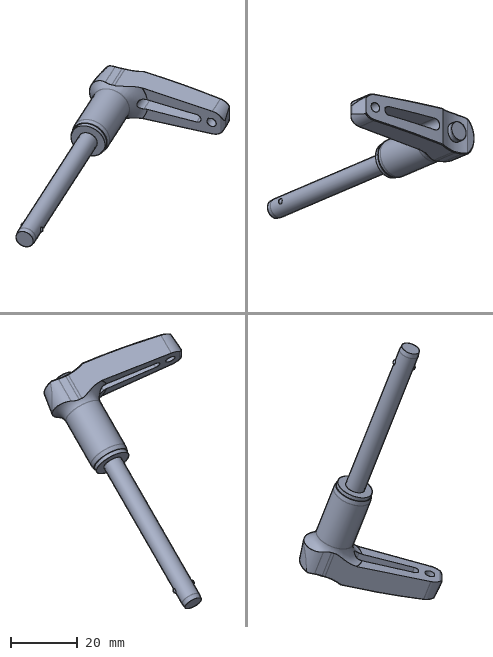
import math

import cadquery as cq


PIN_RADIUS = 3.0
PIN_LENGTH = 52.0
TIP_LENGTH = 1.55
TIP_RADIUS = 2.8
BALL_RADIUS = 0.9
BALL_REACH = 3.5
BALL_Y = -45.85

COLLAR_RADIUS = 5.95
LIP_RADIUS = 5.5
LIP_HEIGHT = 1.25
ROUND_HEIGHT = 1.45
ROUND_DEPTH = 0.25
FLARE_START_Y = 18.9
FLARE_RADIUS = 4.25
FLARE_TOP_Y = 24.5

HUB_RADIUS = 6.33
HEEL_X = -2.37
HEEL_RADIUS = 6.15
GRIP_END_X = 31.2
GRIP_END_RADIUS = 4.3

HANDLE_BOTTOM_Y = FLARE_START_Y + FLARE_RADIUS
FLARE_OUTER_RADIUS = COLLAR_RADIUS + FLARE_RADIUS
GRIP_END_BOTTOM = (35.44, 21.85)
GRIP_END_ROUND = 0.95
GRIP_END_TOP = (34.5, 28.5)
GRIP_TOP_MIDDLE = (18.3, 30.35)
GRIP_PEAK = (5.9, 31.0)
DISH_BOTTOM = (-0.3, 29.6)
DISH_LEFT = (-4.6, 30.25)
TOP_FACES_Y = 29.0
TOP_EDGE_CHAMFER = 0.25

HEEL_TIP_X = HEEL_X - HEEL_RADIUS
HEEL_CUT_RADIUS = 7.8
HEEL_CUT_LEAN = 8.4
HEEL_CUT_RIGHT_X = -4.0

SLOT_WIDE_X = 9.0
SLOT_WIDE_RADIUS = 1.85
SLOT_NARROW_X = 26.3
SLOT_NARROW_RADIUS = 1.4
LANYARD_HOLE_RADIUS = 1.5

BUTTON_RADIUS = 3.0
BUTTON_TOP_Y = 31.6
BUTTON_CHAMFER_HEIGHT = 0.4
BUTTON_CHAMFER_WIDTH = 0.1

LOW_Y = 10.0
HIGH_Y = 40.0
CLEARANCE = 20.0


def facing_plus_y(x, y):
    """Workplane facing +Y, with local axes along the part's X and -Z."""
    return cq.Workplane(cq.Plane((x, y, 0), (1, 0, 0), (0, 1, 0)))


def spin_about_y(half_profile):
    return half_profile.close().revolve(360, (0, 0, 0), (0, 1, 0))


def tangent_hull(left_x, left_radius, right_x, right_radius):
    """Tall prism around two circles on the X axis joined by their common tangents."""
    tilt = math.asin((left_radius - right_radius) / (right_x - left_x))
    left_touch_x = left_x + left_radius * math.sin(tilt)
    left_touch_z = left_radius * math.cos(tilt)
    right_touch_x = right_x + right_radius * math.sin(tilt)
    right_touch_z = right_radius * math.cos(tilt)
    return (
        facing_plus_y(0, LOW_Y)
        .moveTo(left_touch_x, left_touch_z)
        .lineTo(right_touch_x, right_touch_z)
        .threePointArc((right_x + right_radius, 0), (right_touch_x, -right_touch_z))
        .lineTo(left_touch_x, -left_touch_z)
        .threePointArc((left_x - left_radius, 0), (left_touch_x, left_touch_z))
        .close()
        .extrude(HIGH_Y - LOW_Y)
    )


def make_shank_and_collar():
    round_radius = (ROUND_HEIGHT**2 + ROUND_DEPTH**2) / (2 * ROUND_DEPTH)
    round_top_y = LIP_HEIGHT + ROUND_HEIGHT
    half_angle = math.asin(ROUND_HEIGHT / round_radius) / 2
    round_middle = (
        COLLAR_RADIUS - round_radius * (1 - math.cos(half_angle)),
        round_top_y - round_radius * math.sin(half_angle),
    )
    half_profile = (
        cq.Workplane("XY")
        .moveTo(0, -PIN_LENGTH)
        .lineTo(TIP_RADIUS, -PIN_LENGTH)
        .lineTo(PIN_RADIUS, -PIN_LENGTH + TIP_LENGTH)
        .lineTo(PIN_RADIUS, 0)
        .lineTo(LIP_RADIUS, 0)
        .lineTo(LIP_RADIUS, LIP_HEIGHT)
        .lineTo(COLLAR_RADIUS - ROUND_DEPTH, LIP_HEIGHT)
        .threePointArc(round_middle, (COLLAR_RADIUS, round_top_y))
        .lineTo(COLLAR_RADIUS, FLARE_START_Y)
        .lineTo(0, FLARE_START_Y)
    )
    return spin_about_y(half_profile)


def make_flare():
    """Concave skirt that widens from the collar to the underside of the handle."""
    diagonal = FLARE_RADIUS * math.sqrt(0.5)
    arc_middle = (FLARE_OUTER_RADIUS - diagonal, FLARE_START_Y + diagonal)
    half_profile = (
        cq.Workplane("XY")
        .moveTo(0, FLARE_START_Y)
        .lineTo(COLLAR_RADIUS, FLARE_START_Y)
        .threePointArc(arc_middle, (FLARE_OUTER_RADIUS, HANDLE_BOTTOM_Y))
        .lineTo(FLARE_OUTER_RADIUS, FLARE_TOP_Y)
        .lineTo(0, FLARE_TOP_Y)
    )
    return spin_about_y(half_profile)


def make_heel_cutter():
    """Block left of the heel, hollowed by a cylinder that leans toward the grip."""
    block = cq.Workplane("XY").box(CLEARANCE, HIGH_Y - LOW_Y, CLEARANCE).translate(
        (HEEL_CUT_RIGHT_X - CLEARANCE / 2, (LOW_Y + HIGH_Y) / 2, 0)
    )
    pivot = (HEEL_TIP_X, HANDLE_BOTTOM_Y, 0)
    pivot_axis_end = (HEEL_TIP_X, HANDLE_BOTTOM_Y, 1)
    cylinder = (
        facing_plus_y(HEEL_TIP_X + HEEL_CUT_RADIUS, HANDLE_BOTTOM_Y)
        .circle(HEEL_CUT_RADIUS)
        .extrude(CLEARANCE, both=True)
        .rotate(pivot, pivot_axis_end, -HEEL_CUT_LEAN)
    )
    return block.cut(cylinder)


def make_handle():
    """Profile and flare trimmed to the outline and the heel cut, with its top edges chamfered."""
    end_x, end_y = GRIP_END_BOTTOM
    bottom_slope = (end_y - HANDLE_BOTTOM_Y) / (end_x - FLARE_OUTER_RADIUS)
    bottom_left_y = end_y - bottom_slope * (end_x + CLEARANCE)
    arm = (
        cq.Workplane("XY")
        .moveTo(-CLEARANCE, bottom_left_y)
        .lineTo(*GRIP_END_BOTTOM)
        .lineTo(*GRIP_END_TOP)
        .threePointArc(GRIP_TOP_MIDDLE, GRIP_PEAK)
        .threePointArc(DISH_BOTTOM, DISH_LEFT)
        .lineTo(-CLEARANCE, DISH_LEFT[1])
        .close()
        .extrude(CLEARANCE, both=True)
        .edges("|Z and >X")
        .fillet(GRIP_END_ROUND)
    )
    heel = tangent_hull(HEEL_X, HEEL_RADIUS, 0, HUB_RADIUS)
    grip = tangent_hull(0, HUB_RADIUS, GRIP_END_X, GRIP_END_RADIUS)
    outline = heel.union(grip)
    handle = arm.union(make_flare()).intersect(outline).cut(make_heel_cutter())
    top_region = cq.selectors.BoxSelector(
        (-CLEARANCE, TOP_FACES_Y, -HUB_RADIUS),
        (CLEARANCE, HIGH_Y, HUB_RADIUS),
    )
    top_faces = handle.faces(top_region)
    return top_faces.edges("not |Z").chamfer(TOP_EDGE_CHAMFER)


def make_grip_openings():
    slot = tangent_hull(SLOT_WIDE_X, SLOT_WIDE_RADIUS, SLOT_NARROW_X, SLOT_NARROW_RADIUS)
    lanyard_hole = facing_plus_y(GRIP_END_X, LOW_Y).circle(LANYARD_HOLE_RADIUS).extrude(HIGH_Y - LOW_Y)
    return slot.union(lanyard_hole)


def make_button():
    half_profile = (
        cq.Workplane("XY")
        .moveTo(0, HANDLE_BOTTOM_Y)
        .lineTo(BUTTON_RADIUS, HANDLE_BOTTOM_Y)
        .lineTo(BUTTON_RADIUS, BUTTON_TOP_Y - BUTTON_CHAMFER_HEIGHT)
        .lineTo(BUTTON_RADIUS - BUTTON_CHAMFER_WIDTH, BUTTON_TOP_Y)
        .lineTo(0, BUTTON_TOP_Y)
    )
    return spin_about_y(half_profile)


def make_ball(side):
    return cq.Workplane("XY").sphere(BALL_RADIUS).translate((side * (BALL_REACH - BALL_RADIUS), BALL_Y, 0))


result = make_shank_and_collar().union(make_handle()).cut(make_grip_openings()).union(make_button())
for side in (-1, 1):
    result = result.union(make_ball(side))